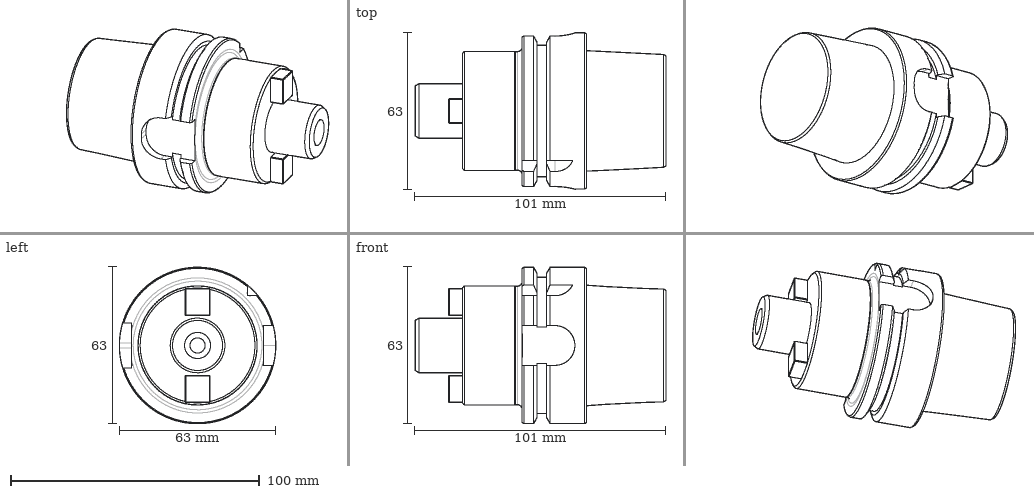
import cadquery as cq
import math


shank_length = 32.0
flange_front = -26.0
body_front = -50.0
pilot_front = -69.0

flange_radius = 63.0 / 2
body_radius = 48.0 / 2
neck_radius = 47.8 / 2
pilot_radius = 22.0 / 2
groove_radius = 55.0 / 2
shank_base_radius = 24.3
shank_taper = 1.0 / 20

chamfer_slope = math.tan(math.radians(30))
pilot_chamfer = 1.6
body_chamfer = 0.9
flange_chamfer = 0.8
shank_chamfer = 1.0

neck_start = -28.9
neck_ramp = 0.3
neck_fillet = 2.0
dish_radius = 27.2
dish_depth = 0.15

groove_middle = -18.0
groove_floor_half_width = 1.85
groove_mouth_half_width = 3.3
groove_half_angle = math.radians(30)
groove_start = groove_middle - groove_floor_half_width
groove_end = groove_middle + groove_floor_half_width
mouth_start = groove_middle - groove_mouth_half_width
mouth_end = groove_middle + groove_mouth_half_width
slope_width = groove_mouth_half_width - groove_floor_half_width
groove_wall_radius = flange_radius - slope_width / math.tan(groove_half_angle)

lug_width = 10.0
lug_inner = 12.0
lug_outer = 23.0
lug_length = 5.5
lug_chamfer = 0.3

slot_floor = 26.5
slot_end = -4.7
slot_radius = 8.0
front_slot_width = 16.0
back_slot_width = 18.0
notch_wall = 20.0
cut_clearance = 1.0

hole_radius = 10.5 / 2
hole_bottom_radius = 3.05
hole_depth = 4.7


def turned_body():
    """Revolve the complete outer outline about the X axis."""
    fillet_end = flange_front + dish_depth
    fillet_start = fillet_end - neck_fillet
    fillet_top = neck_radius + neck_fillet
    fillet_middle = (
        fillet_start + neck_fillet * math.sin(math.radians(45)),
        fillet_top - neck_fillet * math.cos(math.radians(45)),
    )
    flange_face_radius = flange_radius - flange_chamfer * chamfer_slope
    shank_tip_radius = shank_base_radius - shank_taper * shank_length
    shank_edge = shank_length - shank_chamfer
    outline = (
        cq.Workplane("XY")
        .moveTo(pilot_front, 0)
        .lineTo(pilot_front, pilot_radius - pilot_chamfer * chamfer_slope)
        .lineTo(pilot_front + pilot_chamfer, pilot_radius)
        .lineTo(body_front, pilot_radius)
        .lineTo(body_front, body_radius - body_chamfer)
        .lineTo(body_front + body_chamfer, body_radius)
        .lineTo(neck_start, body_radius)
        .lineTo(neck_start + neck_ramp, neck_radius)
        .lineTo(fillet_start, neck_radius)
        .threePointArc(fillet_middle, (fillet_end, fillet_top))
        .lineTo(flange_front, dish_radius)
        .lineTo(flange_front, flange_face_radius)
        .lineTo(flange_front + flange_chamfer, flange_radius)
        .lineTo(mouth_start, flange_radius)
        .lineTo(groove_start, groove_wall_radius)
        .lineTo(groove_start, groove_radius)
        .lineTo(groove_end, groove_radius)
        .lineTo(groove_end, groove_wall_radius)
        .lineTo(mouth_end, flange_radius)
        .lineTo(-flange_chamfer, flange_radius)
        .lineTo(0, flange_face_radius)
        .lineTo(0, shank_base_radius)
        .lineTo(shank_edge, shank_base_radius - shank_taper * shank_edge)
        .lineTo(shank_length, shank_tip_radius - shank_chamfer * chamfer_slope)
        .lineTo(shank_length, 0)
        .close()
    )
    return outline.revolve(360, (0, 0, 0), (1, 0, 0))


def drive_lug():
    """Block on the upper side of the body face."""
    return (
        cq.Workplane("XY")
        .box(lug_length, lug_width, lug_outer - lug_inner)
        .edges("|X or <X")
        .chamfer(lug_chamfer)
        .translate((body_front - lug_length / 2, 0, (lug_inner + lug_outer) / 2))
    )


def slot_cutter(width, middle_z, floor):
    """Slot through the flange front with a rounded end, cut from y = -floor outwards."""
    overall_length = slot_end - flange_front + cut_clearance
    depth = flange_radius + cut_clearance - floor
    small_gap = 0.001
    corner_radius = min(slot_radius, width / 2 - small_gap)
    cutter = cq.Workplane("XY").box(overall_length, depth, width)
    cutter = cutter.edges(">X and |Y").fillet(corner_radius)
    return cutter.translate((slot_end - overall_length / 2, -floor - depth / 2, middle_z))


def pilot_hole():
    """Cylinder that narrows to a flat bottom through a 45 degree cone."""
    cone_end = hole_depth + hole_radius - hole_bottom_radius
    return (
        cq.Workplane("XY")
        .moveTo(pilot_front, 0)
        .lineTo(pilot_front, hole_radius)
        .lineTo(pilot_front + hole_depth, hole_radius)
        .lineTo(pilot_front + cone_end, hole_bottom_radius)
        .lineTo(pilot_front + cone_end, 0)
        .close()
        .revolve(360, (0, 0, 0), (1, 0, 0))
    )


front_slot = slot_cutter(front_slot_width, 0, slot_floor)
back_slot = slot_cutter(back_slot_width, 0, slot_floor).mirror("XZ")
notch_middle = notch_wall + front_slot_width / 2
notch = slot_cutter(front_slot_width, notch_middle, notch_wall)

upper_lug = drive_lug()
lower_lug = upper_lug.mirror("XY")

result = (
    turned_body()
    .union(upper_lug)
    .union(lower_lug)
    .cut(front_slot)
    .cut(back_slot)
    .cut(notch)
    .cut(pilot_hole())
)